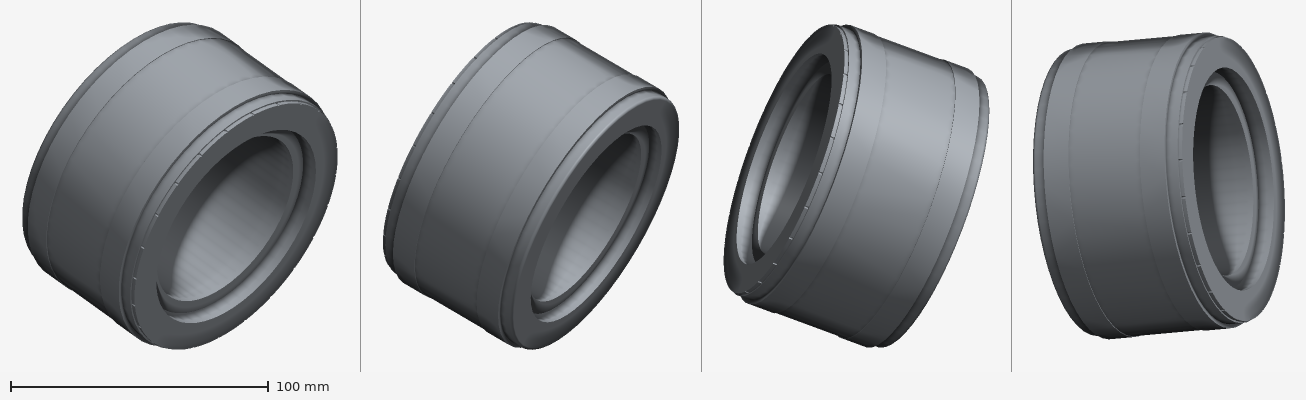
import cadquery as cq
OVERALL_LENGTH = 62.1
LIP_LENGTH = 1.6
LEFT_SHOULDER = 5.4
RIGHT_SHOULDER = 4.8
BAND_WIDTH = 10.2

BAND_RADIUS = 57.6
MIDDLE_RADIUS = 57.2
SHOULDER_RADIUS = 56.0
LIP_RADIUS = 55.3
SLEEVE_BORE_RADIUS = 43.4
EDGE_FILLET = 1.2

GROOVE_COUNT = 24
GROOVE_RADIUS = 0.5
FIRST_GROOVE_ANGLE = 5.0

RING_RADIUS = 42.5
RING_BORE_RADIUS = 37.1
RING_START = 5.2
RING_LENGTH = 50.8

BODY_LENGTH = OVERALL_LENGTH - LIP_LENGTH


def cylinder(start, length, radius):
    """Solid cylinder along X, beginning at x = start."""
    return cq.Workplane("YZ", origin=(start, 0, 0)).circle(radius).extrude(length)


def lip_grooves():
    """Round-bottomed grooves along X, spaced evenly around the rim of the lip."""
    groove = cylinder(BODY_LENGTH, LIP_LENGTH, GROOVE_RADIUS).translate((0, LIP_RADIUS, 0))
    spacing = 360.0 / GROOVE_COUNT
    grooves = cq.Workplane("XY")
    for index in range(GROOVE_COUNT):
        angle = FIRST_GROOVE_ANGLE + spacing * index
        grooves = grooves.add(groove.rotate((0, 0, 0), (1, 0, 0), angle))
    return grooves.combine()


def make_sleeve():
    """Outer sleeve with two raised bands and a grooved lip."""
    second_band_end = BODY_LENGTH - RIGHT_SHOULDER
    second_band_start = second_band_end - BAND_WIDTH
    first_band_end = LEFT_SHOULDER + BAND_WIDTH

    sleeve = cylinder(0, BODY_LENGTH, SHOULDER_RADIUS).faces("<X").edges().fillet(EDGE_FILLET)
    sleeve = sleeve.union(cylinder(LEFT_SHOULDER, BAND_WIDTH, BAND_RADIUS))
    sleeve = sleeve.union(cylinder(first_band_end, second_band_start - first_band_end, MIDDLE_RADIUS))
    sleeve = sleeve.union(cylinder(second_band_start, BAND_WIDTH, BAND_RADIUS))
    sleeve = sleeve.union(cylinder(BODY_LENGTH, LIP_LENGTH, LIP_RADIUS))
    sleeve = sleeve.cut(lip_grooves())
    return sleeve.cut(cylinder(0, OVERALL_LENGTH, SLEEVE_BORE_RADIUS))


def make_inner_ring():
    """Plain ring that sits in the sleeve bore with clearance all round."""
    ring = cylinder(RING_START, RING_LENGTH, RING_RADIUS)
    return ring.cut(cylinder(RING_START, RING_LENGTH, RING_BORE_RADIUS))


sleeve = make_sleeve()
inner_ring = make_inner_ring()

result = cq.Compound.makeCompound([sleeve.val(), inner_ring.val()])